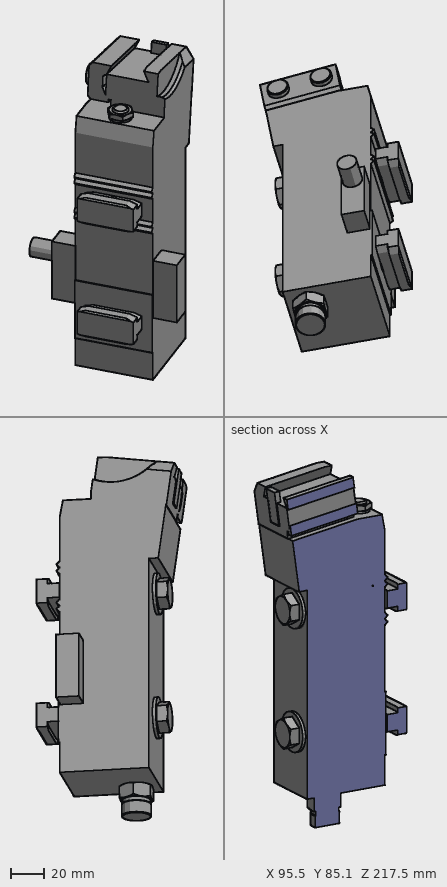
import cadquery as cq
import math

body_width = 50.0
body_depth = 54.5
body_top = 171.2
front_bevel_depth = 2.0
front_bevel_height = 10.5
shoulder_underside_z = 131.7
half_width = body_width / 2

tilt_deg = 8.0
seat_start_y = 19.2
seat_rear_u = 46.15

bolt_x = 0.25
bolt_low_z = 38.9
bolt_pitch = 78.0
bolt_heights = (bolt_low_z, bolt_low_z + bolt_pitch)
bolt_diameter = 10.0
bolt_tip_y = -15.3
tee_head_height = 18.0
tee_neck_height = 12.0
tee_length = 36.3
tee_head_thickness = 6.7
tee_gap = 1.3
tee_end_bevel_x = 5.0
tee_end_bevel_z = 1.5
tee_face_chamfer = 1.0
washer_diameter = 25.0
washer_thickness = 2.0
bolt_head_flats = 17.0
bolt_head_height = 6.6

pad_bottom = 19.0
pad_height = 40.0
pad_thickness = 0.75
rib_height = 2.0
rib_base = 4.0
rib_center_z = 117.0
rib_pair_offset = 12.0

side_block_length = 15.25
side_block_front_y = 0.5
side_block_depth = 14.0
side_block_bottom = 42.6
side_block_height = 39.5
stub_diameter = 12.0
stub_length = 15.0
stub_y = 7.65
stub_z = 71.5

connector_x = -11.75
connector_y = 40.4
connector_flats = 19.0
connector_hex_height = 8.6
connector_neck_diameter = 17.1
connector_neck_height = 2.3
connector_diameter = 18.0
connector_length = 18.9
connector_chamfer = 0.5

plug_x = 0.25
plug_y = 10.1
plug_diameter = 14.0
plug_collar_height = 1.6
plug_hex_height = 3.6
plug_button_base = 10.0
plug_button_tip = 8.0
plug_button_height = 1.2

head_rear_u = 46.45
base_left_x = -9.6
base_height = 4.95
floor_n = 21.05
block_left_x = -13.0
rail_undercut_x = 13.9
rail_inner_x = 10.3
rail_outer_x = 19.8
rail_top_n = 28.3
head_top_z = 198.6
rail_chamfer_drop = 7.0
jaw_outer_x = -24.5
jaw_inner_x = -10.3
jaw_foot_x = -11.0
jaw_bottom_n = 3.2
jaw_top_n = 27.0
jaw_chamfer = 2.0
jaw_slot_depth = 2.3
jaw_slot_top_n = 19.2
jaw_slot_mid_n = 12.2
jaw_slot_bottom_n = 7.7
recess_radius = 32.5
recess_center_u = 7.4
recess_floor_n = 12.0
recess_flat_x = 22.9
recess_flare = 0.8
clamp_screw_n = 15.2
clamp_screw_positions = (9.25, 36.05)
clamp_screw_diameter = 13.0
clamp_screw_height = 3.3
clamp_screw_chamfer = 0.5
stop_left_x = -1.5
stop_right_x = 8.1
stop_front_u = 43.75
stop_rear_u = 47.14
stop_top_n = 28.1
stop_bottom_n = 6.2

hex_sides = 6
hex_half_angle = 180 / hex_sides
nut_bevel_deg = 30.0
overlap = 1.0

tilt = math.radians(tilt_deg)
head_front_u = -base_height * math.tan(tilt)
seat_location = cq.Location(cq.Vector(0, seat_start_y, body_top), cq.Vector(1, 0, 0), -tilt_deg)


def seat_to_yz(u, n):
    """Convert a point of the tilted seat frame to body (Y, Z)."""
    y = seat_start_y + u * math.cos(tilt) + n * math.sin(tilt)
    z = body_top - u * math.sin(tilt) + n * math.cos(tilt)
    return (y, z)


def box(x0, x1, y0, y1, z0, z1):
    return cq.Workplane("XY").box(x1 - x0, y1 - y0, z1 - z0, centered=False).translate((x0, y0, z0))


def cylinder(start, direction, diameter, length):
    return cq.Workplane(
        cq.Solid.makeCylinder(diameter / 2, length, cq.Vector(*start), cq.Vector(*direction))
    )


def yz_prism(points, x0, x1):
    return cq.Workplane("YZ").polyline(points).close().extrude(x1 - x0).translate((x0, 0, 0))


def xn_prism(points, u0, u1):
    """Extrude an (X, n) outline along u, in the seat frame."""
    return cq.Workplane("XZ").polyline(points).close().extrude(u0 - u1).translate((0, u0, 0))


def hexagon_head(flats, height, bevel_both_ends):
    """Upright hexagon with corners on X, corners bevelled."""
    across_corners = flats / math.cos(math.radians(hex_half_angle))
    bevel_radial = (across_corners - flats) / 2
    bevel_axial = bevel_radial * math.tan(math.radians(nut_bevel_deg))
    prism = cq.Workplane("XY").polygon(hex_sides, across_corners).extrude(height)
    turned = cq.Workplane("XY").circle(across_corners / 2).extrude(height)
    turned = turned.faces(">Z").chamfer(bevel_axial, bevel_radial)
    if bevel_both_ends:
        turned = turned.faces("<Z").chamfer(bevel_axial, bevel_radial)
    return prism.intersect(turned)


def make_body():
    shoulder_y, seat_rear_z = seat_to_yz(seat_rear_u, 0)
    shoulder_bottom_y = shoulder_y - (seat_rear_z - shoulder_underside_z) * math.tan(tilt)
    outline = [
        (0, 0),
        (body_depth, 0),
        (body_depth, shoulder_underside_z),
        (shoulder_bottom_y, shoulder_underside_z),
        (shoulder_y, seat_rear_z),
        (seat_start_y, body_top),
        (front_bevel_depth, body_top),
        (0, body_top - front_bevel_height),
    ]
    return yz_prism(outline, -half_width, half_width)


def make_front_pad():
    return box(-half_width, half_width, -pad_thickness, overlap, pad_bottom, pad_bottom + pad_height)


def make_ribs():
    ribs = cq.Workplane("XY")
    for pair_side in (-1, 1):
        pair_z = rib_center_z + pair_side * rib_pair_offset
        for rib_side in (-1, 1):
            tip_z = pair_z + rib_side * rib_base / 2
            outline = [
                (overlap, tip_z - rib_base / 2),
                (0, tip_z - rib_base / 2),
                (-rib_height, tip_z),
                (0, tip_z + rib_base / 2),
                (overlap, tip_z + rib_base / 2),
            ]
            ribs = ribs.add(yz_prism(outline, -half_width, half_width))
    return ribs.combine()


def make_tee_section(height, y0, y1):
    """Bar along X whose end faces are bevelled towards top and bottom."""
    end_x = tee_length / 2
    flat_x = end_x - tee_end_bevel_x
    top = height / 2
    shoulder = top - tee_end_bevel_z
    outline = [
        (-end_x, -shoulder),
        (-flat_x, -top),
        (flat_x, -top),
        (end_x, -shoulder),
        (end_x, shoulder),
        (flat_x, top),
        (-flat_x, top),
        (-end_x, shoulder),
    ]
    return cq.Workplane("XZ").polyline(outline).close().extrude(y0 - y1).translate((0, y0, 0))


def make_bolt():
    """T-slot nut in front, washer and hexagon head behind; bolt axis on Y."""
    head_inner_y = bolt_tip_y + tee_head_thickness
    head = make_tee_section(tee_head_height, bolt_tip_y, head_inner_y)
    face_limit = yz_prism(
        [
            (bolt_tip_y, -tee_head_height / 2 + tee_face_chamfer),
            (bolt_tip_y + tee_face_chamfer, -tee_head_height / 2),
            (head_inner_y, -tee_head_height / 2),
            (head_inner_y, tee_head_height / 2),
            (bolt_tip_y + tee_face_chamfer, tee_head_height / 2),
            (bolt_tip_y, tee_head_height / 2 - tee_face_chamfer),
        ],
        -tee_length / 2,
        tee_length / 2,
    )
    head = head.intersect(face_limit)
    neck = make_tee_section(tee_neck_height, head_inner_y - overlap, -tee_gap)
    shank = cylinder((0, -tee_gap - overlap, 0), (0, 1, 0), bolt_diameter, tee_gap + 2 * overlap)
    washer = cylinder((0, body_depth, 0), (0, 1, 0), washer_diameter, washer_thickness)
    hexagon = hexagon_head(bolt_head_flats, bolt_head_height, False)
    hexagon = hexagon.rotate((0, 0, 0), (0, 0, 1), hex_half_angle).rotate((0, 0, 0), (1, 0, 0), -90)
    hexagon = hexagon.translate((0, body_depth + washer_thickness, 0))
    return head.union(neck).union(shank).union(washer).union(hexagon)


def make_side_blocks():
    reach = half_width + side_block_length
    rear_y = side_block_front_y + side_block_depth
    top = side_block_bottom + side_block_height
    bar = box(-reach, reach, side_block_front_y, rear_y, side_block_bottom, top)
    stub = cylinder((-reach, stub_y, stub_z), (-1, 0, 0), stub_diameter, stub_length)
    return bar.union(stub)


def make_connector():
    hexagon = hexagon_head(connector_flats, connector_hex_height, True)
    hexagon = hexagon.translate((0, 0, -connector_hex_height))
    collar_top = -connector_hex_height - connector_neck_height
    neck = cylinder((0, 0, -connector_hex_height), (0, 0, -1), connector_neck_diameter, connector_neck_height)
    collar = cylinder((0, 0, collar_top), (0, 0, -1), connector_diameter, connector_length + collar_top)
    collar = collar.edges().chamfer(connector_chamfer)
    return hexagon.union(neck).union(collar).translate((connector_x, connector_y, 0))


def make_plug():
    collar = cylinder((0, 0, 0), (0, 0, 1), plug_diameter, plug_collar_height)
    hexagon = hexagon_head(plug_diameter, plug_hex_height, False).translate((0, 0, plug_collar_height))
    button = cq.Workplane(
        cq.Solid.makeCone(plug_button_base / 2, plug_button_tip / 2, plug_button_height)
    ).translate((0, 0, plug_collar_height + plug_hex_height))
    return collar.union(hexagon).union(button).translate((plug_x, plug_y, body_top))


def make_clamp_base():
    outline = [
        (seat_start_y, body_top),
        seat_to_yz(head_rear_u, 0),
        seat_to_yz(head_rear_u, base_height),
        seat_to_yz(head_front_u, base_height),
    ]
    return yz_prism(outline, base_left_x, half_width)


def make_clamp_block():
    """Fixed half of the dovetail clamp, in the seat frame."""
    outline = [
        (block_left_x, base_height),
        (half_width, base_height),
        (half_width, rail_top_n - rail_chamfer_drop),
        (rail_outer_x, rail_top_n),
        (rail_inner_x, rail_top_n),
        (rail_undercut_x, floor_n),
        (block_left_x, floor_n),
    ]
    return xn_prism(outline, head_front_u, head_rear_u)


def make_recess():
    """Shallow round relief in the +X flank, slightly flared at its outer end."""
    rim = recess_radius + recess_flare
    profile = [
        (rail_outer_x, 0),
        (rail_outer_x, recess_radius),
        (recess_flat_x, recess_radius),
        (half_width, rim),
        (half_width, 0),
    ]
    relief = cq.Workplane("XY").polyline(profile).close().revolve(360, (0, 0, 0), (1, 0, 0))
    return relief.translate((0, recess_center_u, recess_floor_n + recess_radius))


def make_jaw():
    """Movable half of the dovetail clamp with its two screws, in the seat frame."""
    outline = [
        (jaw_outer_x + jaw_chamfer, jaw_bottom_n),
        (jaw_foot_x, jaw_bottom_n),
        (jaw_foot_x, base_height),
        (block_left_x, base_height),
        (block_left_x, jaw_slot_bottom_n),
        (block_left_x - jaw_slot_depth, jaw_slot_mid_n),
        (block_left_x - jaw_slot_depth, jaw_slot_top_n),
        (block_left_x, floor_n),
        (jaw_inner_x, jaw_top_n),
        (jaw_outer_x + jaw_chamfer, jaw_top_n),
        (jaw_outer_x, jaw_top_n - jaw_chamfer),
        (jaw_outer_x, jaw_bottom_n + jaw_chamfer),
    ]
    jaw = xn_prism(outline, head_front_u, head_rear_u)
    for u in clamp_screw_positions:
        seat_point = (jaw_outer_x, u, clamp_screw_n)
        screw = cylinder(seat_point, (-1, 0, 0), clamp_screw_diameter, clamp_screw_height)
        jaw = jaw.union(screw.faces("<X").chamfer(clamp_screw_chamfer))
    return jaw


def make_clamp_head():
    stop = box(stop_left_x, stop_right_x, stop_front_u, stop_rear_u, stop_bottom_n, stop_top_n)
    head = make_clamp_block().cut(make_recess()).union(make_jaw()).union(stop)
    head = cq.Workplane(head.val().moved(seat_location))
    above_head = box(-body_width, body_width, 0, 2 * body_depth, head_top_z, 2 * head_top_z)
    return head.cut(above_head).union(make_clamp_base())


result = make_body().union(make_front_pad()).union(make_ribs())
for z in bolt_heights:
    result = result.union(make_bolt().translate((bolt_x, 0, z)))
result = result.union(make_side_blocks()).union(make_connector()).union(make_plug())
result = result.union(make_clamp_head())